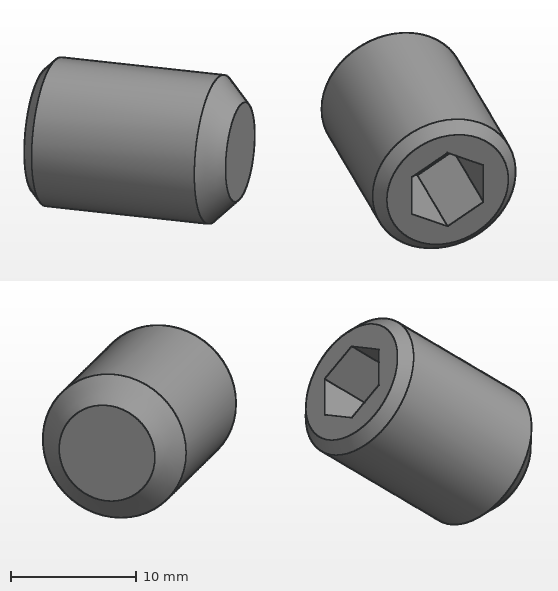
import cadquery as cq

length = 16.5
diameter = 12.0
socket_end_chamfer = 0.9
point_chamfer = 2.0
hex_across_flats = 6.0
socket_depth = 8.0

left_end = -length / 2


def make_body():
    """Cylinder with a small chamfer at the socket end and a large one at the point."""
    body = cq.Workplane("YZ").workplane(offset=left_end).circle(diameter / 2).extrude(length)
    body = body.faces("<X").chamfer(socket_end_chamfer)
    return body.faces(">X").chamfer(point_chamfer)


def make_hex_socket():
    """Blind hexagonal socket with its flats facing +Y and -Y and corners up and down."""
    return (
        cq.Workplane("YZ")
        .workplane(offset=left_end)
        .polygon(6, hex_across_flats, circumscribed=True)
        .extrude(socket_depth)
    )


result = make_body().cut(make_hex_socket())